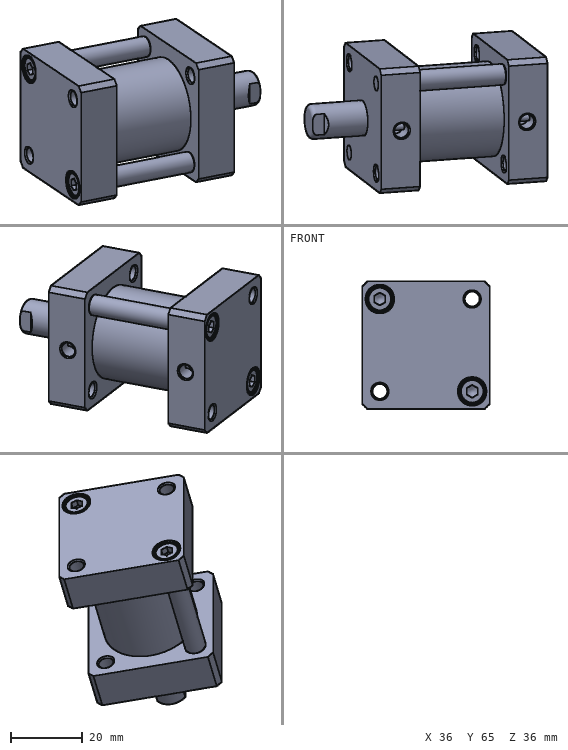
import cadquery as cq
import math


total_length = 65.0
head_side = 36.0
head_thickness = 11.45
head_corner_chamfer = 1.5
barrel_length = 26.1
barrel_diameter = 26.9

bolt_offset = 13.0
hole_diameter = 4.15
hole_mouth_diameter = 5.0

counterbore_diameter = 7.5
counterbore_mouth_diameter = 8.1
counterbore_depth = 4.0

bolt_head_diameter = 7.0
bolt_head_face_diameter = 6.3
bolt_head_height = 3.7
hex_across_flats = 3.1
hex_depth = 1.95
hex_cone_depth = 0.9
sleeve_diameter = 6.0
sleeve_end_chamfer = 0.3

port_diameter = 4.15
port_mouth_diameter = 4.95
port_depth = 5.85
port_tip_depth = 1.25
port_shift = 0.3
port_bar_diameter = 2.0
port_bar_depth = 5.2

rod_diameter = 10.0
rod_end_fillet = 1.3
flat_width = 8.0
flat_length = 3.45

barrel_start = head_thickness
rear_start = barrel_start + barrel_length
rear_end = rear_start + head_thickness
bolt_centres = [(-bolt_offset, bolt_offset), (bolt_offset, -bolt_offset)]
mounting_centres = [(-bolt_offset, -bolt_offset), (bolt_offset, bolt_offset)]


def cylinder_y(diameter, start, end, centre=(0, 0)):
    """Cylinder along Y from start to end, centred at (x, z)."""
    x, z = centre
    return cq.Workplane(cq.Solid.makeCylinder(
        diameter / 2, end - start, cq.Vector(x, start, z), cq.Vector(0, 1, 0)))


def countersunk_hole(start, end, centre):
    """Cutter for a through hole with a 45 degree chamfer at both mouths."""
    x, z = centre
    radius = hole_diameter / 2
    mouth_radius = hole_mouth_diameter / 2
    chamfer = mouth_radius - radius
    profile = (
        cq.Workplane("XY")
        .moveTo(0, start)
        .lineTo(mouth_radius, start)
        .lineTo(radius, start + chamfer)
        .lineTo(radius, end - chamfer)
        .lineTo(mouth_radius, end)
        .lineTo(0, end)
        .close()
    )
    return profile.revolve(360, (0, 0, 0), (0, 1, 0)).translate((x, 0, z))


def port_cutter(y):
    """Drilled side port with a chamfered mouth, leaving a bar across its floor."""
    face = -head_side / 2
    radius = port_diameter / 2
    mouth_radius = port_mouth_diameter / 2
    port = (
        cq.Workplane("XY")
        .moveTo(face, 0)
        .lineTo(face, mouth_radius)
        .lineTo(face + mouth_radius - radius, radius)
        .lineTo(face + port_depth, radius)
        .lineTo(face + port_depth + port_tip_depth, 0)
        .close()
        .revolve(360, (0, 0, 0), (1, 0, 0))
        .translate((0, y, 0))
    )
    bar = cylinder_y(port_bar_diameter, y - mouth_radius, y + mouth_radius, (face + port_bar_depth, 0))
    return port.cut(bar)


def make_head(start, port_y):
    """Square head with chamfered edges, two mounting holes, two bolt holes and a port."""
    end = start + head_thickness
    head = (
        cq.Workplane("XY")
        .box(head_side, head_thickness, head_side, centered=(True, False, True))
        .edges("|Y")
        .chamfer(head_corner_chamfer)
        .translate((0, start, 0))
    )
    for centre in mounting_centres:
        head = head.cut(countersunk_hole(start, end, centre))
    for centre in bolt_centres:
        head = head.cut(cylinder_y(hole_diameter, start, end, centre))
    return head.cut(port_cutter(port_y))


def make_front_head():
    """Front head, with counterbores for the bolt heads."""
    head = make_head(0, head_thickness / 2 + port_shift)
    mouth_chamfer = (counterbore_mouth_diameter - counterbore_diameter) / 2
    for x, z in bolt_centres:
        head = head.cut(cylinder_y(counterbore_diameter, 0, counterbore_depth, (x, z)))
        mouth = cq.Solid.makeCone(counterbore_mouth_diameter / 2, counterbore_diameter / 2,
                                  mouth_chamfer, cq.Vector(x, 0, z), cq.Vector(0, 1, 0))
        head = head.cut(cq.Workplane(mouth))
    return head


def make_rear_head():
    """Rear head, with the bore for the piston rod."""
    head = make_head(rear_start, rear_start + head_thickness / 2 - port_shift)
    return head.cut(cylinder_y(rod_diameter, rear_start, rear_end))


def make_barrel():
    """Barrel between the heads."""
    return cylinder_y(barrel_diameter, barrel_start, rear_start)


def make_rod():
    """Piston rod with a rounded end and two wrench flats that run out at 45 degrees."""
    rod = cylinder_y(rod_diameter, rear_start, total_length).faces(">Y").edges().fillet(rod_end_fillet)
    flat_x = flat_width / 2
    outer_x = rod_diameter / 2
    flat_start = total_length - flat_length
    for side in (-1, 1):
        cutter = (
            cq.Workplane("XY")
            .moveTo(side * flat_x, total_length)
            .lineTo(side * flat_x, flat_start)
            .lineTo(side * outer_x, flat_start - (outer_x - flat_x))
            .lineTo(side * outer_x, total_length)
            .close()
            .extrude(outer_x, both=True)
        )
        rod = rod.cut(cutter)
    return rod


def make_tie_bolt(centre):
    """Socket-head tie bolt with a thicker sleeve section between the two heads."""
    x, z = centre
    face_y = counterbore_depth - bolt_head_height
    head_chamfer = (bolt_head_diameter - bolt_head_face_diameter) / 2
    bolt_head = cylinder_y(bolt_head_diameter, face_y, counterbore_depth).faces("<Y").chamfer(head_chamfer)
    shank = cylinder_y(hole_diameter, counterbore_depth, rear_end)
    sleeve = cylinder_y(sleeve_diameter, barrel_start, rear_start).edges("%CIRCLE").chamfer(sleeve_end_chamfer)

    hex_corner_diameter = hex_across_flats / math.cos(math.pi / 6)
    hex_prism = (
        cq.Workplane("XZ", origin=(0, face_y, 0))
        .transformed(rotate=(0, 0, 90))
        .polygon(6, hex_corner_diameter)
        .extrude(-hex_depth - hex_cone_depth)
    )
    floor_cone = cq.Solid.makeCone(hex_corner_diameter / 2, 0, hex_cone_depth,
                                   cq.Vector(0, face_y + hex_depth, 0), cq.Vector(0, 1, 0))
    drilling = cylinder_y(hex_corner_diameter, face_y, face_y + hex_depth).union(cq.Workplane(floor_cone))
    socket = hex_prism.intersect(drilling)
    bolt = bolt_head.union(shank).union(sleeve).cut(socket)
    return bolt.translate((x, 0, z))


front_head = make_front_head()
rear_head = make_rear_head()
barrel = make_barrel()
rod = make_rod()
tie_bolts = [make_tie_bolt(centre) for centre in bolt_centres]

result = cq.Compound.makeCompound([
    front_head.val(),
    rear_head.val(),
    barrel.val(),
    rod.val(),
    *[bolt.val() for bolt in tie_bolts],
])